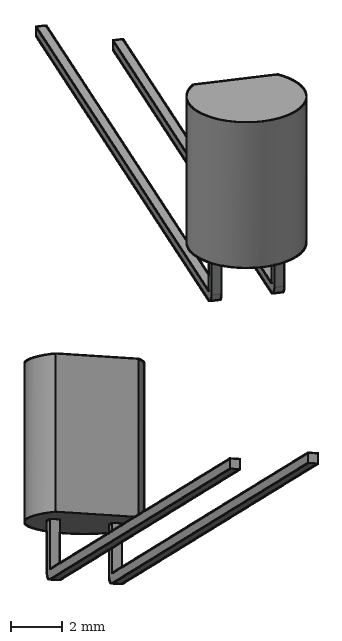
import cadquery as cq

total_length = 27.4
total_height = 8.72
body_diameter = 4.7
body_depth = 3.95
body_height = 6.3
lead_size = 0.4
lead_pitch = 2.55
short_lead_setback = 2.0
bend_radius = 0.4

body_radius = body_diameter / 2
flat_x = body_radius - body_depth
long_lead_end_x = body_radius - total_length
lead_bottom_z = body_height - total_height


def make_body():
    """Round body with one side cut flat."""
    cylinder = cq.Workplane("XY").circle(body_radius).extrude(body_height)
    keep = cq.Workplane("XY").box(
        body_depth, body_diameter, body_height, centered=(False, True, False)
    )
    return cylinder.intersect(keep.translate((flat_x, 0, 0)))


def make_lead(center_y, end_x):
    """Square lead that drops from the body and bends toward -X."""
    outer_x = lead_size / 2
    inner_x = -lead_size / 2
    top_of_run_z = lead_bottom_z + lead_size
    profile = (
        cq.Workplane("XZ", origin=(0, center_y + lead_size / 2, 0))
        .moveTo(inner_x, 0)
        .lineTo(outer_x, 0)
        .lineTo(outer_x, lead_bottom_z + bend_radius)
        .radiusArc((outer_x - bend_radius, lead_bottom_z), bend_radius)
        .lineTo(end_x, lead_bottom_z)
        .lineTo(end_x, top_of_run_z)
        .lineTo(inner_x, top_of_run_z)
        .close()
    )
    return profile.extrude(lead_size)


long_lead = make_lead(-lead_pitch / 2, long_lead_end_x)
short_lead = make_lead(lead_pitch / 2, long_lead_end_x + short_lead_setback)
result = make_body().union(long_lead).union(short_lead)